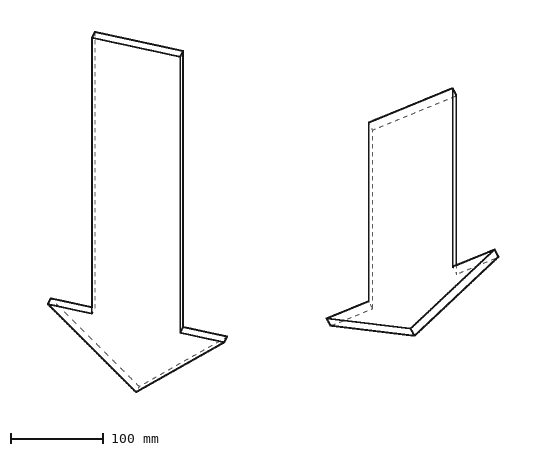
import cadquery as cq

total_height = 500.0
thickness = 10.0
head_width = 200.0
head_height = head_width / 2
shaft_width = head_width / 2

head_half = head_width / 2
shaft_half = shaft_width / 2

outline = [
    (0, 0),
    (head_half, head_height),
    (shaft_half, head_height),
    (shaft_half, total_height),
    (-shaft_half, total_height),
    (-shaft_half, head_height),
    (-head_half, head_height),
]

result = cq.Workplane("XZ").polyline(outline).close().extrude(thickness / 2, both=True)